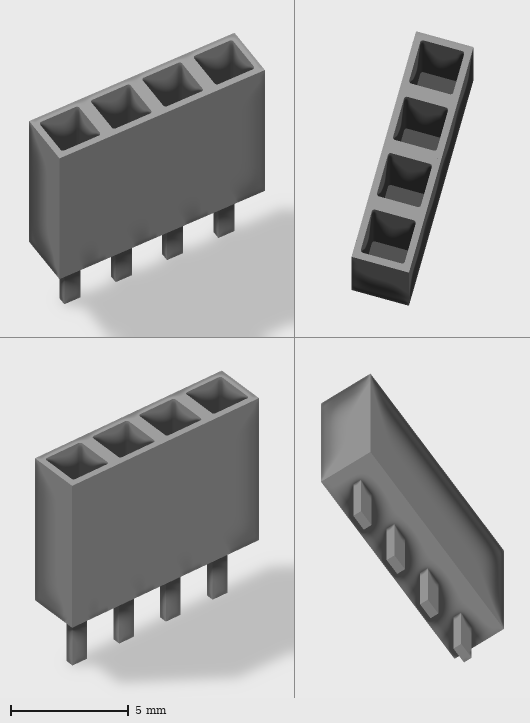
import cadquery as cq

total_height = 10.5
cell_count = 4
pitch = 2.54

pin_length = 3.0
housing_height = total_height - pin_length
cavity_width = 1.94
wall = (pitch - cavity_width) / 2
cavity_corner_radius = 0.12
floor_thickness = wall
cavity_depth = housing_height - floor_thickness

pin_thickness = 0.4
pin_width = 0.8


def make_housing(y_center):
    """Square housing standing on Z = 0 with a round-cornered blind cavity."""
    block = cq.Workplane("XY").box(pitch, pitch, housing_height, centered=(True, True, False))
    cavity = (
        cq.Workplane("XY")
        .workplane(offset=floor_thickness)
        .rect(cavity_width, cavity_width)
        .extrude(cavity_depth)
        .edges("|Z")
        .fillet(cavity_corner_radius)
    )
    return block.cut(cavity).translate((0, y_center, 0))


def make_pin(y_center):
    """Rectangular pin whose top touches the housing underside at Z = 0."""
    pin = cq.Workplane("XY").rect(pin_thickness, pin_width).extrude(-pin_length)
    return pin.translate((0, y_center, 0))


housings = []
pins = []
for index in range(cell_count):
    cell_y = (index - (cell_count - 1) / 2) * pitch
    housings.append(make_housing(cell_y).val())
    pins.append(make_pin(cell_y).val())

result = cq.Compound.makeCompound([*housings, *pins])